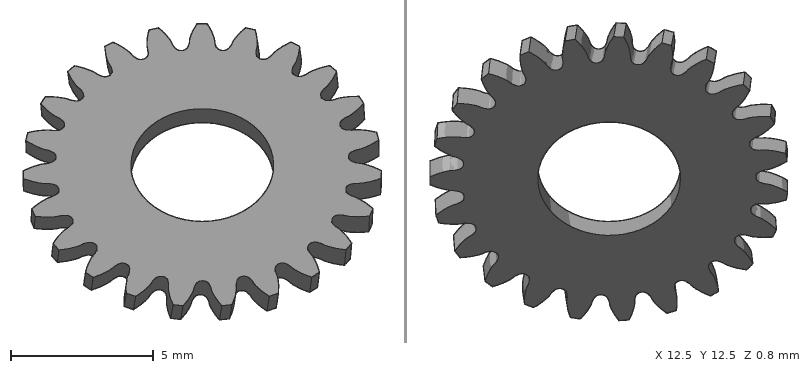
import cadquery as cq
import math

TOOTH_COUNT = 23
MODULE = 0.5
PRESSURE_ANGLE = math.radians(20)
OUTER_WIDTH = 12.55
RIGHT_CORNER_DEGREES = 1.2
LEFT_CORNER_DEGREES = 2.0
THICKNESS = 0.8
BORE_DIAMETER = 5.0
TWIST_DEGREES = 0.8
TOP_TOOTH_DIRECTION = -90.0
ROOT_DEPTH = 0.64
GAP_ARC_DEPTH = 0.19
GAP_ARC_WIDTH = 0.49
FLANK_STEPS = 6

PITCH_RADIUS = MODULE * TOOTH_COUNT / 2
TIP_RADIUS = OUTER_WIDTH / (
    math.cos(math.radians(RIGHT_CORNER_DEGREES)) + math.cos(math.radians(LEFT_CORNER_DEGREES))
)
ROOT_RADIUS = PITCH_RADIUS - ROOT_DEPTH
BASE_RADIUS = PITCH_RADIUS * math.cos(PRESSURE_ANGLE)
TOOTH_PITCH = 2 * math.pi / TOOTH_COUNT
GAP_ARC_RADIUS = ROOT_RADIUS + GAP_ARC_DEPTH
GAP_ARC_HALF_ANGLE = math.asin(GAP_ARC_WIDTH / 2 / GAP_ARC_RADIUS)


def polar(radius, angle):
    return (radius * math.cos(angle), radius * math.sin(angle))


def involute(angle):
    return math.tan(angle) - angle


def tooth_half_angle(radius):
    """Half the angle a tooth spans at a radius on its involute flank."""
    pressure = math.acos(min(1.0, BASE_RADIUS / radius))
    return TOOTH_PITCH / 4 + involute(PRESSURE_ANGLE) - involute(pressure)


def flank_points(center, side):
    """Points from the base circle to the tip on one side (-1 or 1) of a tooth."""
    points = []
    for step in range(FLANK_STEPS + 1):
        radius = BASE_RADIUS + (TIP_RADIUS - BASE_RADIUS) * step / FLANK_STEPS
        points.append(polar(radius, center + side * tooth_half_angle(radius)))
    return points


def gear_outline():
    """Counterclockwise outline: for each tooth two flanks, a tip arc and the gap after it."""
    gap_to_arc = TOOTH_PITCH / 2 - GAP_ARC_HALF_ANGLE
    first_center = math.radians(TOP_TOOTH_DIRECTION - TWIST_DEGREES)
    outline = cq.Workplane("XY").moveTo(*polar(GAP_ARC_RADIUS, first_center - gap_to_arc))
    for tooth in range(TOOTH_COUNT):
        center = first_center + tooth * TOOTH_PITCH
        rising = flank_points(center, -1)
        falling = flank_points(center, 1)[::-1]
        gap_middle = center + TOOTH_PITCH / 2
        outline = (
            outline.spline(rising, includeCurrent=True)
            .threePointArc(polar(TIP_RADIUS, center), falling[0])
            .spline(falling[1:] + [polar(GAP_ARC_RADIUS, center + gap_to_arc)], includeCurrent=True)
            .threePointArc(
                polar(ROOT_RADIUS, gap_middle),
                polar(GAP_ARC_RADIUS, gap_middle + GAP_ARC_HALF_ANGLE),
            )
        )
    return outline.close()


gear_blank = gear_outline().twistExtrude(THICKNESS, TWIST_DEGREES)
bore = cq.Workplane("XY").circle(BORE_DIAMETER / 2).extrude(THICKNESS)
result = gear_blank.cut(bore)